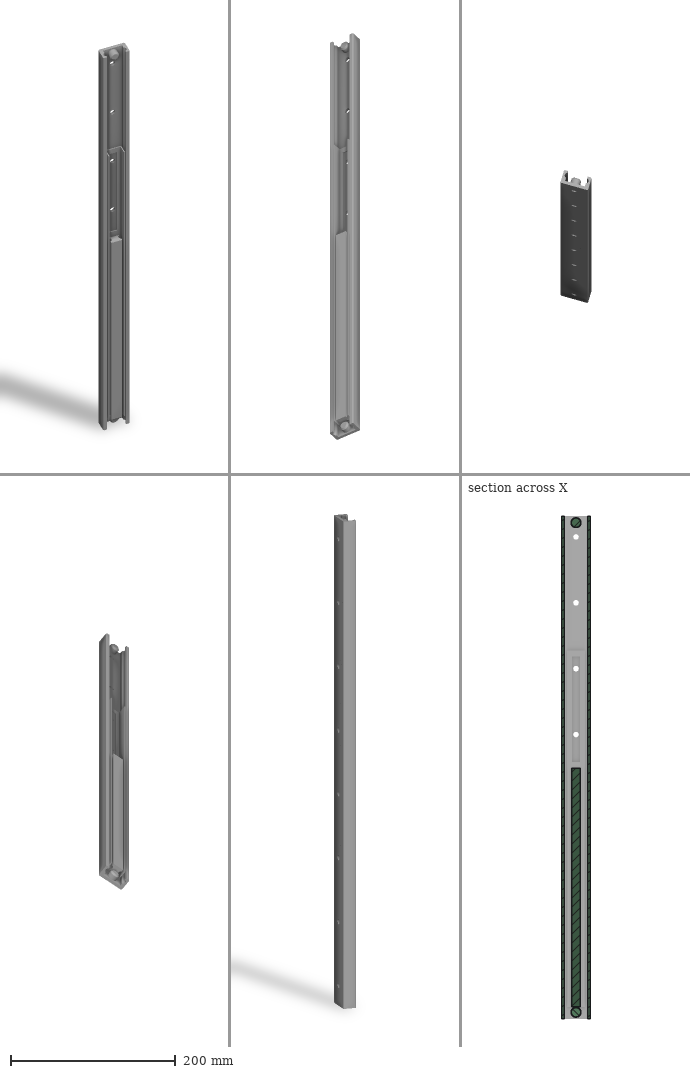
import cadquery as cq

rail_length = 610.0
rail_width = 35.0
rail_depth = 16.5
web_thickness = 3.5
flange_thickness = 5.0
raceway_width = 6.0
raceway_depth = 2.5
raceway_center_x = 11.0
corner_radius = 1.5

hole_count = 8
hole_pitch = 80.0
hole_diameter = 7.0

pin_inset = 8.0
shank_diameter = 10.0
head_diameter = 12.0
head_end_x = 11.5
head_chamfer = 2.0

outer_depth = 17.0
stop_clearance = 0.5

cage_width = 21.5
cage_length = 432.5
cage_sheet = 1.0
cage_back_x = 5.0
window_width = 10.0
window_margin = 7.5

slider_length = 290.0
slider_width = 14.0
slider_back_x = 7.5
slider_groove_depth = 2.5
slider_groove_width = 6.0

first_hole_z = (rail_length - (hole_count - 1) * hole_pitch) / 2
hole_heights = [first_hole_z + i * hole_pitch for i in range(hole_count)]
pin_heights = [pin_inset, rail_length - pin_inset]
lower_end_z = pin_inset + head_diameter / 2 + stop_clearance
slider_top_z = lower_end_z + slider_length
cage_top_z = lower_end_z + cage_length


def bar(x_start, x_end, width, z_start, length):
    """Rectangular bar along Z, centred on Y = 0."""
    return (
        cq.Workplane("XY")
        .box(x_end - x_start, width, length, centered=(False, True, False))
        .translate((x_start, 0, z_start))
    )


def rod(x_start, x_end, diameter, z):
    """Cylinder along X at height z, centred on Y = 0."""
    return (
        cq.Workplane("YZ", origin=(x_start, 0, z)).circle(diameter / 2).extrude(x_end - x_start)
    )


def raceway(mouth_y, bottom_y, width, z_start, length):
    """Arc-bottomed groove cutter along Z, opening at mouth_y and deepest at bottom_y."""
    return (
        cq.Workplane("XY", origin=(0, 0, z_start))
        .moveTo(raceway_center_x - width / 2, mouth_y)
        .threePointArc((raceway_center_x, bottom_y), (raceway_center_x + width / 2, mouth_y))
        .close()
        .extrude(length)
    )


def make_rail():
    """C channel with raceways in its flanges and holes for the screws and pins in its web."""
    body = bar(0, rail_depth, rail_width, 0, rail_length).edges("|Z").fillet(corner_radius)
    inner_y = rail_width / 2 - flange_thickness
    body = body.cut(bar(web_thickness, rail_depth, 2 * inner_y, 0, rail_length))
    for side in (-1, 1):
        groove = raceway(side * inner_y, side * (inner_y + raceway_depth), raceway_width, 0, rail_length)
        body = body.cut(groove)
    for z in hole_heights:
        body = body.cut(rod(0, web_thickness, hole_diameter, z))
    for z in pin_heights:
        body = body.cut(rod(0, web_thickness, shank_diameter, z))
    return body


def make_pin(z):
    """Stop pin: a shank filling its hole in the web and a wider chamfered head."""
    shank = rod(0, web_thickness, shank_diameter, z)
    head = rod(web_thickness, head_end_x, head_diameter, z)
    head = head.faces(">X").chamfer(head_chamfer)
    return shank.union(head)


def make_cage():
    """C sheet resting just above the lower pin, open toward +X."""
    body = bar(cage_back_x, outer_depth, cage_width, lower_end_z, cage_length)
    inside_x = cage_back_x + cage_sheet
    body = body.cut(
        bar(inside_x, outer_depth, cage_width - 2 * cage_sheet, lower_end_z, cage_length)
    )
    window_z = slider_top_z + window_margin
    window_length = cage_top_z - window_margin - window_z
    return body.cut(bar(cage_back_x, inside_x, window_width, window_z, window_length))


def make_slider():
    """Grooved bar inside the lower part of the cage."""
    body = bar(slider_back_x, outer_depth, slider_width, lower_end_z, slider_length)
    edge_y = slider_width / 2
    for side in (-1, 1):
        groove = raceway(
            side * edge_y,
            side * (edge_y - slider_groove_depth),
            slider_groove_width,
            lower_end_z,
            slider_length,
        )
        body = body.cut(groove)
    return body


rail = make_rail()
cage = make_cage()
slider = make_slider()
pins = [make_pin(z) for z in pin_heights]

result = cq.Compound.makeCompound(
    [rail.val(), cage.val(), slider.val(), *[pin.val() for pin in pins]]
)